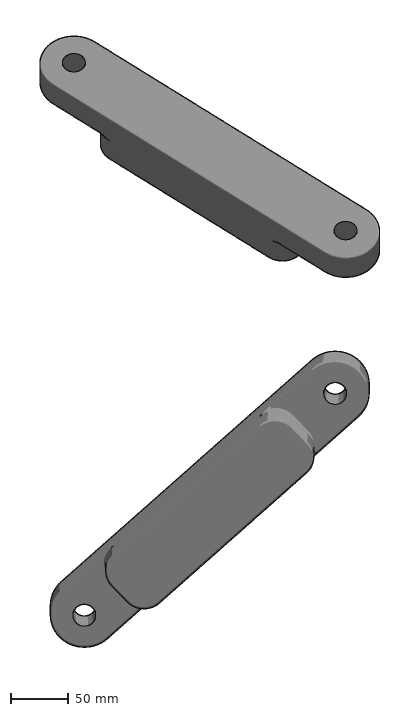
import cadquery as cq

bar_length = 360
bar_width = 60
bar_height = 30
foot_length = 216
foot_height = 30
foot_corner_radius = 20
hole_diameter = 20
edge_radius = 2

hole_spacing = bar_length - bar_width
total_height = bar_height + foot_height

root_plate_margin = 2 * edge_radius
root_plate_length = foot_length + 2 * root_plate_margin
root_plate_width = bar_width + 2 * root_plate_margin
root_plate_height = bar_height / 2


def edge_near(x, z):
    """Selector for the edge whose middle lies closest to (x, 0, z)."""
    return cq.selectors.NearestToPointSelector((x, 0, z))


def make_bar():
    """Upper bar with full-round ends."""
    return (
        cq.Workplane("XY")
        .workplane(offset=foot_height)
        .slot2D(bar_length, bar_width)
        .extrude(bar_height)
    )


def make_foot():
    """Block under the bar, flaring into it with a root fillet cut off flush with the bar's sides."""
    block = (
        cq.Workplane("XY")
        .rect(foot_length, bar_width)
        .extrude(foot_height)
        .edges("|Z")
        .fillet(foot_corner_radius)
    )
    plate = (
        cq.Workplane("XY")
        .workplane(offset=foot_height)
        .rect(root_plate_length, root_plate_width)
        .extrude(root_plate_height)
    )
    flared = block.union(plate).edges(edge_near(-foot_length / 2, foot_height)).fillet(edge_radius)
    trim = cq.Workplane("XY").box(bar_length, bar_width, 2 * total_height)
    return flared.intersect(trim)


def make_left_half():
    """Half of the body on the -X side, with the bar's lower edge rounded up to the foot."""
    left_side = cq.Workplane("XY").box(bar_length, bar_width, 2 * total_height)
    left_side = left_side.translate((-bar_length / 2, 0, 0))
    half = make_bar().union(make_foot()).intersect(left_side)
    return half.edges(edge_near(-bar_length / 2, foot_height)).fillet(edge_radius)


def make_holes():
    """Two vertical through holes, concentric with the rounded ends."""
    return (
        cq.Workplane("XY")
        .pushPoints([(-hole_spacing / 2, 0), (hole_spacing / 2, 0)])
        .circle(hole_diameter / 2)
        .extrude(total_height)
    )


left_half = make_left_half()
body = left_half.union(left_half.mirror("YZ"))

body = body.faces(">Z or <Z").edges().fillet(edge_radius)

result = cq.Workplane(body.cut(make_holes()).solids().val())